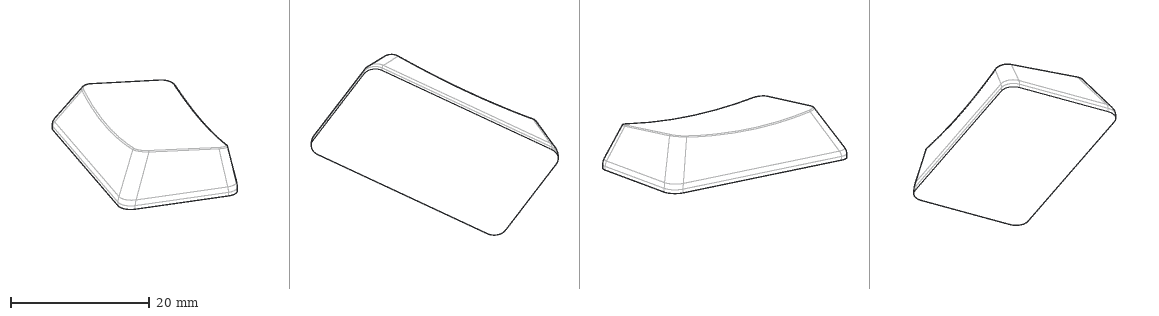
import cadquery as cq
import math

length = 32.45
width = 18.17
skirt_height = 0.6

shoulder_height = 0.78
shoulder_steps = 4

side_draft = math.radians(28.8)
back_draft = math.radians(5.2)
top_tilt = math.radians(5.66)

dish_radius = 77.88
dish_bottom_at_center = 5.87

corner_radius = 1.95
top_edge_radius = 0.25

crown_height_at_center = 7.8
crown_side_inset = 3.95
crown_corner_radius = 1.75
dish_length = 3 * width


def rounded_rectangle(size_x, size_y, radius):
    """Rectangle with rounded corners, centered on its origin."""
    return cq.Sketch().rect(size_x, size_y).vertices().fillet(radius)


def outline_at(height):
    """Outline of the skirt or shoulder; above the skirt the walls bend in along a parabola."""
    rise = max(height - skirt_height, 0)
    bend = rise**2 / (2 * shoulder_height)
    side_inset = bend * math.tan(side_draft)
    back_inset = bend * math.tan(back_draft)
    center = cq.Vector(0, (side_inset - back_inset) / 2, height)
    outline = rounded_rectangle(length - 2 * side_inset, width - side_inset - back_inset, corner_radius)
    return outline.moved(cq.Location(center))


def crown_outline():
    """Tilted outline where the leaning front and back walls meet the crown plane."""
    slope = math.tan(top_tilt)
    front_lean = math.tan(side_draft)
    back_lean = math.tan(back_draft)
    wall_rise = crown_height_at_center - skirt_height - shoulder_height / 2
    front_y = (wall_rise * front_lean - width / 2) / (1 + slope * front_lean)
    back_y = (width / 2 - wall_rise * back_lean) / (1 - slope * back_lean)
    middle_y = (front_y + back_y) / 2
    center = cq.Vector(0, middle_y, crown_height_at_center - middle_y * slope)
    outline = rounded_rectangle(
        length - 2 * crown_side_inset,
        (back_y - front_y) / math.cos(top_tilt),
        crown_corner_radius,
    )
    tilted = cq.Plane(origin=center, xDir=(1, 0, 0), normal=(0, math.sin(top_tilt), math.cos(top_tilt)))
    return outline.moved(cq.Location(tilted))


def make_blank():
    """Vertical skirt, curved shoulder and four leaning walls, stacked."""
    walls_start = skirt_height + shoulder_height
    shoulder_outlines = [
        outline_at(skirt_height + shoulder_height * step / shoulder_steps)
        for step in range(shoulder_steps + 1)
    ]
    skirt = cq.Workplane("XY").placeSketch(outline_at(0)).extrude(skirt_height)
    shoulder = cq.Workplane("XY").placeSketch(*shoulder_outlines).loft()
    walls = cq.Workplane("XY").placeSketch(outline_at(walls_start), crown_outline()).loft(ruled=True)
    return skirt.union(shoulder).union(walls)


def make_dish():
    """Cylinder running front to back that hollows the top."""
    return (
        cq.Workplane("XZ")
        .circle(dish_radius)
        .extrude(dish_length / 2, both=True)
        .translate((0, 0, dish_radius))
        .rotate((0, 0, 0), (1, 0, 0), -math.degrees(top_tilt))
        .translate((0, 0, dish_bottom_at_center))
    )


def round_top_edge(cap):
    """Fillet the rim, whose edges are the only ones wholly in the upper half."""
    rim = cq.selectors.BoxSelector(
        (-length, -width, dish_bottom_at_center / 2),
        (length, width, 2 * crown_height_at_center),
        boundingbox=True,
    )
    return cap.edges(rim).fillet(top_edge_radius)


result = round_top_edge(make_blank().cut(make_dish()))